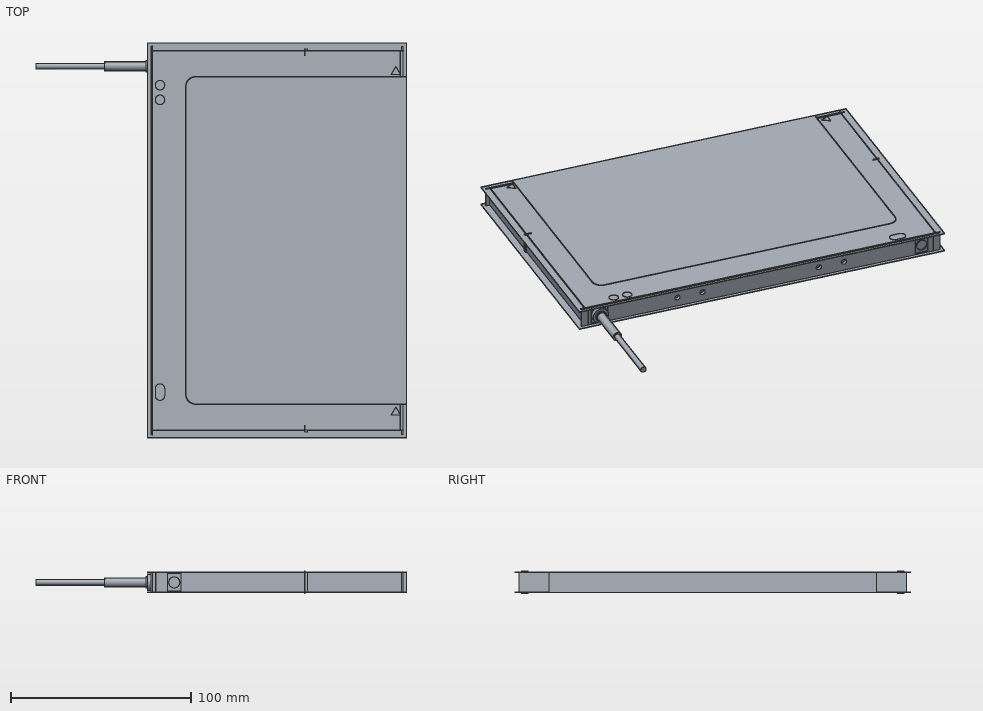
import cadquery as cq

PLATE_LENGTH = 143.6
PLATE_WIDTH = 219.0
HOUSING_HEIGHT = 11.4
PLATE_THICKNESS = 0.33

SKIN_INSET = 2.0
SKIN_THICKNESS = 0.9
SIDE_WALL_INSET = 4.2
RIB_X = 88.0
RIB_THICKNESS = 1.3
RIB_HEIGHT = 0.9

MARK_DEPTH = 0.2
LINE_WIDTH = 0.2

AREA_START = 21.2
AREA_MARGIN = 18.5
AREA_CORNER_RADIUS = 5.5

LEFT_LINE_INSET = 2.6
SIDE_LINE_INSET = 4.4
RIGHT_LINE_INSET = 3.5
LINE_END_GAP = 1.8

TICK_HEIGHT = 0.55
TICK_WIDTH = 0.2
TICK_LENGTH = 3.5
TICK_X = 87.1
TICK_Y = PLATE_WIDTH / 2 - 5.3

SPOT_X = 7.0
SPOT_DIAMETER = 5.3
ROUND_SPOTS_Y = (86.0, 78.0)
OBLONG_SPOT_Y = -84.0
OBLONG_SPOT_LENGTH = 9.2

ARROW_X = PLATE_LENGTH - 6.0
ARROW_WIDTH = 5.3
ARROW_HEIGHT = 4.4
ARROW_BASES_Y = (92.0, -96.8)

WALL_SEAM_Y = 103.3
WALL_SEAM_X = 4.5

WALL_HOLE_DIAMETER = 3.0
WALL_HOLE_DEPTH = 2.2
WALL_HOLES_Y = (34.8, 50.0)

RECESS_SIZE = 7.5
RECESS_HEIGHT = 9.6
RECESS_DEPTH = 0.7
PLUG_DIAMETER = 6.1
FRONT_RECESS_X = 14.9

CABLE_Y = 96.5
CABLE_REACH = 61.7
CABLE_DIAMETER = 3.3
SLEEVE_LENGTH = 23.6
SLEEVE_DIAMETER = 5.0
COLLAR_DIAMETER = 6.3
COLLAR_LENGTH = 0.9
GLAND_DIAMETER = 9.2
GLAND_RECESS_SIZE = 9.9
GLAND_SOCKET_DEPTH = 1.0

TOP_Z = HOUSING_HEIGHT / 2
MID_X = PLATE_LENGTH / 2
GLAND_END_X = SKIN_INSET + GLAND_SOCKET_DEPTH
SIDE_WALL_Y = PLATE_WIDTH / 2 - SIDE_WALL_INSET
AREA_HALF_WIDTH = PLATE_WIDTH / 2 - AREA_MARGIN
CORE_HEIGHT = HOUSING_HEIGHT - 2 * PLATE_THICKNESS


def box(x_range, y_range, z_range):
    """Box between the given limits along each axis."""
    (x0, x1), (y0, y1), (z0, z1) = x_range, y_range, z_range
    return cq.Workplane("XY").box(x1 - x0, y1 - y0, z1 - z0, centered=False).translate((x0, y0, z0))


def centred_box(size, centre):
    return cq.Workplane("XY").box(*size).translate(centre)


def rod(diameter, x_start, x_end):
    """Round bar on the cable axis."""
    return cq.Workplane("YZ", origin=(x_start, CABLE_Y, 0)).circle(diameter / 2).extrude(x_end - x_start)


def top_cut():
    """Workplane at the floor of the marks in the top face."""
    return cq.Workplane("XY", origin=(0, 0, TOP_Z - MARK_DEPTH))


def plates():
    size = (PLATE_LENGTH, PLATE_WIDTH, PLATE_THICKNESS)
    plate_z = (HOUSING_HEIGHT - PLATE_THICKNESS) / 2
    return centred_box(size, (MID_X, 0, plate_z)).union(centred_box(size, (MID_X, 0, -plate_z)))


def core():
    """Block between the plates; it reaches the +X edge only along the active area."""
    full_width = PLATE_WIDTH - 2 * SKIN_INSET
    skin_length = PLATE_LENGTH - 2 * SKIN_INSET
    skin_size = (SKIN_THICKNESS, full_width, CORE_HEIGHT)
    skin_offset = (skin_length - SKIN_THICKNESS) / 2
    body = centred_box((skin_length, 2 * SIDE_WALL_Y, CORE_HEIGHT), (MID_X, 0, 0))
    for x in (MID_X - skin_offset, MID_X + skin_offset):
        body = body.union(centred_box(skin_size, (x, 0, 0)))
    rib_size = (RIB_THICKNESS, 2 * (SIDE_WALL_Y + RIB_HEIGHT), CORE_HEIGHT)
    body = body.union(centred_box(rib_size, (RIB_X, 0, 0)))
    area_wall = box(
        (MID_X, PLATE_LENGTH),
        (-AREA_HALF_WIDTH, AREA_HALF_WIDTH),
        (-CORE_HEIGHT / 2, CORE_HEIGHT / 2),
    )
    return body.union(area_wall)


def area_outline():
    """Thin groove around the active area on three sides."""

    def panel(shrink):
        half = AREA_HALF_WIDTH - shrink
        return (
            box((AREA_START + shrink, PLATE_LENGTH), (-half, half), (TOP_Z - MARK_DEPTH, TOP_Z))
            .edges("|Z and <X")
            .fillet(AREA_CORNER_RADIUS - shrink)
        )

    return panel(0).cut(panel(LINE_WIDTH))


def border_lines():
    z_range = (TOP_Z - MARK_DEPTH, TOP_Z)
    half = PLATE_WIDTH / 2
    line_y = half - SIDE_LINE_INSET
    right_x = PLATE_LENGTH - RIGHT_LINE_INSET
    left_x = LEFT_LINE_INSET
    lines = box((left_x, left_x + LINE_WIDTH), (LINE_END_GAP - half, half - LINE_END_GAP), z_range)
    for side in (1, -1):
        along = centred_box(
            (PLATE_LENGTH - LINE_END_GAP - left_x, LINE_WIDTH, MARK_DEPTH),
            ((left_x + PLATE_LENGTH - LINE_END_GAP) / 2, side * line_y, TOP_Z - MARK_DEPTH / 2),
        )
        y_range = sorted((side * line_y, side * (half - AREA_MARGIN)))
        lines = lines.union(along).union(box((right_x, right_x + LINE_WIDTH), y_range, z_range))
    return lines


def spots():
    round_spots = [(SPOT_X, y) for y in ROUND_SPOTS_Y]
    cut = top_cut().pushPoints(round_spots).circle(SPOT_DIAMETER / 2).extrude(MARK_DEPTH)
    oblong = top_cut().center(SPOT_X, OBLONG_SPOT_Y).slot2D(OBLONG_SPOT_LENGTH, SPOT_DIAMETER, 90)
    return cut.union(oblong.extrude(MARK_DEPTH))


def arrow(base_y):
    half = ARROW_WIDTH / 2
    corners = [(ARROW_X - half, base_y), (ARROW_X + half, base_y), (ARROW_X, base_y + ARROW_HEIGHT)]
    return top_cut().polyline(corners).close().extrude(MARK_DEPTH)


def ticks():
    """Bars that stand through both plates and rise slightly above each."""
    height = HOUSING_HEIGHT + 2 * TICK_HEIGHT
    points = [(TICK_X, TICK_Y), (TICK_X, -TICK_Y)]
    return cq.Workplane("XY").pushPoints(points).box(TICK_WIDTH, TICK_LENGTH, height)


def wall_seams():
    size = 2 * MARK_DEPTH
    left = [(SKIN_INSET, side * WALL_SEAM_Y, 0) for side in (1, -1)]
    sides = [(WALL_SEAM_X, side * SIDE_WALL_Y, 0) for side in (1, -1)]
    cut = cq.Workplane("XY").pushPoints(left).box(size, LINE_WIDTH, CORE_HEIGHT)
    return cut.union(cq.Workplane("XY").pushPoints(sides).box(LINE_WIDTH, size, CORE_HEIGHT))


def wall_holes():
    points = [(side * y, 0) for y in WALL_HOLES_Y for side in (1, -1)]
    plane = cq.Workplane("YZ", origin=(SKIN_INSET, 0, 0))
    return plane.pushPoints(points).circle(WALL_HOLE_DIAMETER / 2).extrude(WALL_HOLE_DEPTH)


def plugged_recess(plane):
    """Square recess that leaves a round plug standing flush in it."""
    square = plane.rect(RECESS_SIZE, RECESS_HEIGHT).extrude(RECESS_DEPTH)
    return square.cut(plane.circle(PLUG_DIAMETER / 2).extrude(RECESS_DEPTH))


def gland_seat():
    """Square recess in the -X wall with the round socket of the strain relief at its centre."""
    plane = cq.Workplane("YZ", origin=(SKIN_INSET, CABLE_Y, 0))
    square = plane.rect(GLAND_RECESS_SIZE, GLAND_RECESS_SIZE).extrude(RECESS_DEPTH)
    return square.union(rod(GLAND_DIAMETER, SKIN_INSET, GLAND_END_X))


def make_housing():
    body = plates().union(core()).union(ticks())
    body = body.cut(area_outline()).cut(border_lines()).cut(spots())
    for base_y in ARROW_BASES_Y:
        body = body.cut(arrow(base_y))
    body = body.cut(wall_seams()).cut(wall_holes()).cut(gland_seat())
    left_plane = cq.Plane(origin=(SKIN_INSET, -CABLE_Y, 0), xDir=(0, 1, 0), normal=(1, 0, 0))
    front_plane = cq.Plane(origin=(FRONT_RECESS_X, -SIDE_WALL_Y, 0), xDir=(-1, 0, 0), normal=(0, 1, 0))
    for plane in (left_plane, front_plane):
        body = body.cut(plugged_recess(cq.Workplane(plane)))
    return body


def make_strain_relief():
    gland = rod(GLAND_DIAMETER, 0, GLAND_END_X)
    collar = rod(COLLAR_DIAMETER, -COLLAR_LENGTH, 0)
    sleeve = rod(SLEEVE_DIAMETER, -SLEEVE_LENGTH, -COLLAR_LENGTH)
    bore = rod(CABLE_DIAMETER, -SLEEVE_LENGTH, 0)
    return gland.union(collar).union(sleeve).cut(bore)


def make_cable():
    return rod(CABLE_DIAMETER, -CABLE_REACH, 0)


housing = make_housing()
strain_relief = make_strain_relief()
cable = make_cable()

result = cq.Compound.makeCompound([housing.val(), strain_relief.val(), cable.val()])